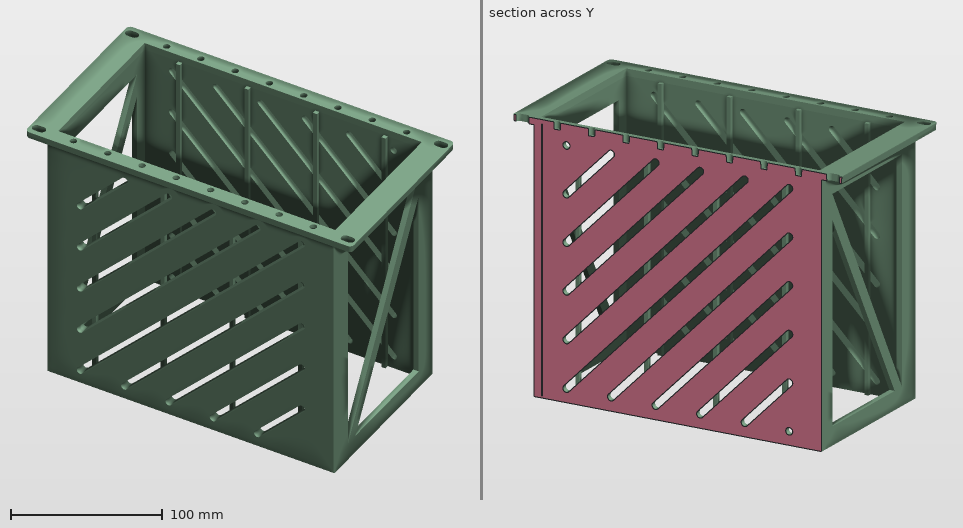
import cadquery as cq
import math

flange_length = 250.65
flange_width = 134.0
flange_thickness = 5.0
flange_inset = 0.325
flange_draft = math.degrees(math.atan2(flange_inset, flange_thickness))
rim_height = 0.5
rim_draft = math.degrees(math.atan2(flange_inset, flange_thickness - rim_height))

total_height = 195.0
body_height = total_height - flange_thickness
flange_end_margin = 15.0
flange_side_margin = 3.0
flange_corner = flange_side_margin + flange_inset
body_length = flange_length - 2 * (flange_inset + flange_end_margin)
body_width = flange_width - 2 * (flange_inset + flange_side_margin)
end_wall = 4.0
side_wall = 8.0
edge_break = 0.4
inner_length = body_length - 2 * end_wall
inner_width = body_width - 2 * side_wall

screw_line_y = 60.25
slot_hole_x = 118.5
slot_hole_diameter = 6.0
slot_hole_length = 10.0
screw_diameter = 5.0
screw_count = 8
screw_pitch = 26.3

rib_width = 3.0
rib_projection = 3.0
rib_pitch = 2 * screw_pitch
rib_count = screw_count // 2

vent_diameter = 5.0
vent_margin = 10.0
vent_steps = 5
vent_pitch = (body_height - 2 * vent_margin) / vent_steps
vent_half_span = vent_pitch * vent_steps / 2
vent_center_z = -flange_thickness - body_height / 2

window_side_margin = 18.0
window_half_width = body_width / 2 - window_side_margin
window_top = -19.0
window_bottom = -181.5
brace_foot = 9.5
brace_rise = 18.0


def make_flange():
    """Rounded plate with a thin upright rim, its sides leaning inward below the rim."""
    outline = cq.Sketch().rect(flange_length, flange_width).vertices().fillet(flange_corner)
    rim = cq.Workplane("XY").placeSketch(outline).extrude(-rim_height)
    lower = cq.Workplane("XY", origin=(0, 0, -rim_height)).placeSketch(outline)
    return rim.union(lower.extrude(rim_height - flange_thickness, taper=rim_draft))


def make_body():
    """Solid block of the box, with broken edges around the outer side faces."""
    body = cq.Workplane("XY", origin=(0, 0, -total_height)).rect(body_length, body_width).extrude(body_height)
    return body.faces("<Y or >Y").edges("|Z or <Z").chamfer(edge_break)


def make_cavity():
    """Inside of the box and the slightly flared opening through the flange."""
    cavity = cq.Workplane("XY", origin=(0, 0, -total_height)).rect(inner_length, inner_width).extrude(body_height)
    opening = cq.Workplane("XY").rect(inner_length + 2 * flange_inset, inner_width + 2 * flange_inset)
    return cavity.union(opening.extrude(-flange_thickness, taper=flange_draft))


def make_ribs():
    """Vertical ribs on the inner faces of both side walls."""
    ribs = cq.Workplane("XY", origin=(0, 0, -total_height))
    ribs = ribs.rarray(rib_pitch, inner_width - rib_projection, rib_count, 2)
    return ribs.rect(rib_width, rib_projection).extrude(body_height)


def make_flange_slots():
    """Tapered slots through the four flange corners."""
    slots = cq.Workplane("XY").rarray(2 * slot_hole_x, 2 * screw_line_y, 2, 2)
    return slots.slot2D(slot_hole_length, slot_hole_diameter).extrude(-flange_thickness, taper=flange_draft)


def make_screw_holes():
    """Tapered screw holes that end on top of the side walls."""
    holes = cq.Workplane("XY").rarray(screw_pitch, 2 * screw_line_y, screw_count, 2)
    return holes.circle(screw_diameter / 2).extrude(-flange_thickness, taper=flange_draft)


def make_vents():
    """Rising slots for the -Y wall; a slot's offset is its grid row minus its grid column."""
    vents = cq.Workplane("XZ", origin=(0, 0, vent_center_z))
    for offset in range(1 - vent_steps, vent_steps):
        length = math.sqrt(2) * vent_pitch * (vent_steps - abs(offset))
        shift = vent_pitch * offset / 2
        vents = vents.center(-shift, shift)
        vents = vents.slot2D(length + vent_diameter, vent_diameter, 45)
        vents = vents.center(shift, -shift)
    return vents.extrude(body_width / 2)


def make_corner_vents():
    """Round holes that close the +Y wall's pattern where no slot reaches."""
    corners = [(-vent_half_span, -vent_half_span), (vent_half_span, vent_half_span)]
    holes = cq.Workplane("XZ", origin=(0, 0, vent_center_z)).pushPoints(corners)
    return holes.circle(vent_diameter / 2).extrude(-body_width / 2)


def make_windows():
    """Two triangles on either side of the brace, cut through both end walls."""
    upper = [
        (window_half_width, window_top),
        (-window_half_width, window_top),
        (-window_half_width, window_bottom),
    ]
    lower = [
        (window_half_width, window_top - brace_rise),
        (window_half_width, window_bottom),
        (brace_foot - window_half_width, window_bottom),
    ]
    plane = cq.Workplane("YZ")
    windows = plane.polyline(upper).close().polyline(lower).close()
    return windows.extrude(body_length / 2, both=True)


front_vents = make_vents()
rear_vents = front_vents.rotate((0, 0, 0), (0, 0, 1), 180)

result = make_flange().union(make_body()).cut(make_cavity())
result = result.cut(make_windows())
result = result.cut(front_vents).cut(rear_vents).cut(make_corner_vents())
result = result.union(make_ribs())
result = result.cut(make_flange_slots()).cut(make_screw_holes())